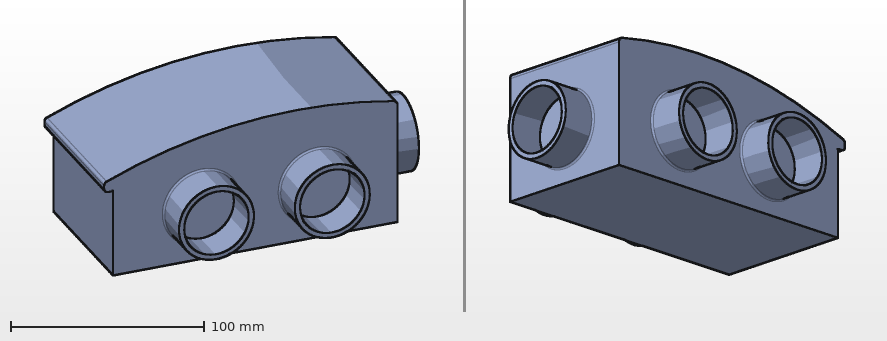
import cadquery as cq
import math

overall_width = 120.0
overall_length = 184.5
overall_height = 75.8

spigot_diameter = 42.0
bore_diameter = 36.2
spigot_length = 20.0
spigot_height = 30.0
side_spigot_positions = (54.6, 119.5)
root_fillet = 1.0

body_width = overall_width - 2 * spigot_length
front_wall = 5.0
back_wall = overall_length - spigot_length
lip_underside = 48.9
crown_position = 107.5
crown_radius = 282.3
lip_edge_radius = 2.2
back_edge_radius = 3.0


def crown_height(y):
    """Height of the arched top at the given Y."""
    drop = crown_radius - math.sqrt(crown_radius**2 - (y - crown_position) ** 2)
    return overall_height - drop


def make_body():
    """Arched block with a front lip and rounded upper edges."""
    block = (
        cq.Workplane("YZ")
        .moveTo(front_wall, 0)
        .lineTo(back_wall, 0)
        .lineTo(back_wall, crown_height(back_wall))
        .threePointArc((crown_position, overall_height), (0, crown_height(0)))
        .lineTo(0, lip_underside)
        .lineTo(front_wall, lip_underside)
        .close()
        .extrude(body_width / 2, both=True)
    )
    back_edge = cq.selectors.NearestToPointSelector((0, back_wall, crown_height(back_wall)))
    lip_top_edge = cq.selectors.NearestToPointSelector((0, 0, crown_height(0)))
    lip_bottom_edge = cq.selectors.NearestToPointSelector((0, 0, lip_underside))
    block = block.edges(lip_top_edge + lip_bottom_edge).fillet(lip_edge_radius)
    return block.edges(back_edge).fillet(back_edge_radius)


def make_spigot(root, direction):
    """Open tube with a flared fillet where it meets the body."""
    outer_radius = spigot_diameter / 2
    bore_radius = bore_diameter / 2
    arc_offset = root_fillet * (1 - math.sqrt(0.5))
    tube = (
        cq.Workplane("XZ")
        .moveTo(bore_radius, 0)
        .lineTo(outer_radius + root_fillet, 0)
        .threePointArc(
            (outer_radius + arc_offset, arc_offset),
            (outer_radius, root_fillet),
        )
        .lineTo(outer_radius, spigot_length)
        .lineTo(bore_radius, spigot_length)
        .close()
        .revolve(360, (0, 0, 0), (0, 1, 0))
    )
    plane = cq.Plane(origin=root, xDir=(0, 0, 1), normal=direction)
    return cq.Workplane(tube.val().moved(cq.Location(plane)))


result = make_body()

for side in (-1, 1):
    for position in side_spigot_positions:
        root = (side * body_width / 2, position, spigot_height)
        result = result.union(make_spigot(root, (side, 0, 0)))

result = result.union(make_spigot((0, back_wall, spigot_height), (0, 1, 0)))